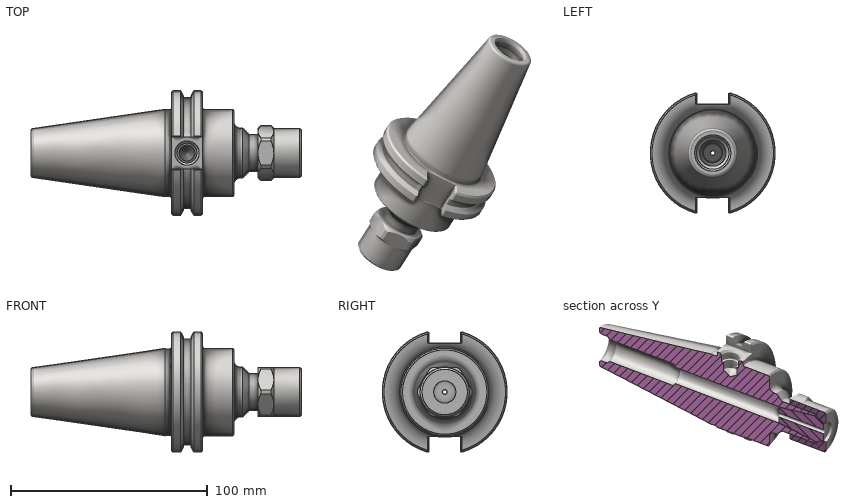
import cadquery as cq
import math


overall_length = 137.6

gauge_dia = 44.45
taper_length = 68.25
taper_slope = 7 / 48
shank_end_dia = gauge_dia - 2 * taper_slope * taper_length
shank_end_fillet = 1.3

relief_dia = 44.0
flange_dia = 63.5
flange_start = 3.175
flange_width = 15.875
flange_end = flange_start + flange_width
flange_chamfer = 0.9
flange_root_fillet = 0.75

groove_dia = 56.36
groove_center = 11.2
groove_floor_width = 3.9
groove_mouth_width = 6.95
groove_wall_depth = 2.6

slot_width = 16.1
slot_edge_chamfer = 0.69
slot_rim_drop = 0.3
slot_floor_top = 24.85
slot_floor_bottom = 22.6

side_hole_mouth_dia = 12.29
side_hole_dia = 10.05
side_hole_depth = 5.0
side_pilot_dia = 8.0
side_pilot_depth = 10.0
drill_point_angle = 118.0

body_dia = gauge_dia
body_end = 35.0
body_chamfer = 0.8
collar_dia = 25.4
collar_fillet = 3.0
collar_end = 39.35
neck_dia = 18.92
neck_start = collar_end + (collar_dia - neck_dia) / 2
nose_end = 63.75

bore_mouth_dia = 18.4
bore_mouth_depth = 1.5
counterbore_dia = 16.46
counterbore_depth = 4.9
thread_bore_dia = 13.39
thread_bore_start = 6.5
thread_bore_depth = 45.0
through_bore_dia = 9.91

collet_mouth_dia = 16.0
collet_tail_dia = 9.46
collet_taper_angle = 8.0
collet_head_angle = 30.0
collet_face_dia = 11.25
collet_bore_dia = 2.29

nut_start = 47.15
hex_length = 8.05
hex_flats = 25.02
hex_corner_dia = 27.9
hex_chamfer = (hex_corner_dia - hex_flats) / 2
nut_dia = hex_flats
nut_end = overall_length - taper_length
nut_chamfer = 1.0


def cone_length(large_dia, small_dia, half_angle):
    """Axial length of a cone between two diameters."""
    return (large_dia - small_dia) / 2 / math.tan(math.radians(half_angle))


def revolve_profile(points):
    """Solid of revolution about X from (x, radius) points."""
    profile = cq.Workplane("XY").polyline(points).close()
    return profile.revolve(360, (0, 0, 0), (1, 0, 0))


def ring_edges(solid, x, dia):
    """Circular edges about the X axis at a position and diameter."""
    tol = 0.01
    reach = dia / 2 + tol
    box = cq.selectors.BoxSelector((x - tol, -reach, -reach), (x + tol, reach, reach), boundingbox=True)
    inner = dia / 2 - tol
    inside = cq.selectors.BoxSelector((x - tol, -inner, -inner), (x + tol, inner, inner), boundingbox=True)
    return solid.edges(box - inside)


socket_end = nose_end - cone_length(collet_mouth_dia, through_bore_dia, collet_taper_angle)
collet_tail = nose_end - cone_length(collet_mouth_dia, collet_tail_dia, collet_taper_angle)
collet_face = nose_end + cone_length(collet_mouth_dia, collet_face_dia, collet_head_angle)


def holder_outside():
    """Turned outside of the holder with its fillets and chamfers."""
    groove_wall_dia = flange_dia - 2 * groove_wall_depth
    mouth_left = groove_center - groove_mouth_width / 2
    mouth_right = groove_center + groove_mouth_width / 2
    floor_left = groove_center - groove_floor_width / 2
    floor_right = groove_center + groove_floor_width / 2
    outside = revolve_profile([
        (-taper_length, 0),
        (-taper_length, shank_end_dia / 2),
        (0, gauge_dia / 2),
        (0, relief_dia / 2),
        (flange_start, relief_dia / 2),
        (flange_start, flange_dia / 2),
        (mouth_left, flange_dia / 2),
        (floor_left, groove_wall_dia / 2),
        (floor_left, groove_dia / 2),
        (floor_right, groove_dia / 2),
        (floor_right, groove_wall_dia / 2),
        (mouth_right, flange_dia / 2),
        (flange_end, flange_dia / 2),
        (flange_end, body_dia / 2),
        (body_end, body_dia / 2),
        (body_end, collar_dia / 2),
        (collar_end, collar_dia / 2),
        (neck_start, neck_dia / 2),
        (nose_end, neck_dia / 2),
        (nose_end, 0),
    ])
    outside = ring_edges(outside, -taper_length, shank_end_dia).fillet(shank_end_fillet)
    outside = ring_edges(outside, flange_start, relief_dia).fillet(flange_root_fillet)
    outside = ring_edges(outside, flange_end, body_dia).fillet(flange_root_fillet)
    outside = ring_edges(outside, flange_start, flange_dia).chamfer(flange_chamfer)
    outside = ring_edges(outside, flange_end, flange_dia).chamfer(flange_chamfer)
    outside = ring_edges(outside, body_end, body_dia).chamfer(body_chamfer)
    return ring_edges(outside, body_end, collar_dia).fillet(collar_fillet)


def holder_bore():
    """Stepped bore from the shank end through to the collet socket."""
    cone_end = thread_bore_depth + cone_length(thread_bore_dia, through_bore_dia, drill_point_angle / 2)
    return revolve_profile([
        (-taper_length, 0),
        (-taper_length, bore_mouth_dia / 2),
        (bore_mouth_depth - taper_length, counterbore_dia / 2),
        (counterbore_depth - taper_length, counterbore_dia / 2),
        (thread_bore_start - taper_length, thread_bore_dia / 2),
        (thread_bore_depth - taper_length, thread_bore_dia / 2),
        (cone_end - taper_length, through_bore_dia / 2),
        (socket_end, through_bore_dia / 2),
        (nose_end, collet_mouth_dia / 2),
        (nose_end, 0),
    ])


def drive_slot(floor_height, side):
    """Cutter for one drive slot through the flange; side is +1 for up and -1 for down."""
    height = flange_dia / 2 - floor_height
    middle = (flange_start + flange_width / 2, 0, side * (floor_height + height / 2))
    slot = cq.Workplane("XY").box(flange_width, slot_width, height).translate(middle)
    flare_width = slot_width + 2 * slot_edge_chamfer
    for face, inward in ((flange_start, 1), (flange_end, -1)):
        flare = (
            cq.Workplane("XY")
            .polyline([
                (face, -flare_width / 2),
                (face, flare_width / 2),
                (face + inward * slot_edge_chamfer, slot_width / 2),
                (face + inward * slot_edge_chamfer, -slot_width / 2),
            ])
            .close()
            .extrude(height)
            .translate((0, 0, floor_height if side > 0 else -flange_dia / 2))
        )
        slot = slot.union(flare)
    edge_height = math.sqrt((flange_dia / 2) ** 2 - (flare_width / 2) ** 2)
    flare_top = flange_dia / 2
    flare_rise = flare_top - edge_height
    flare_spread = flare_rise * slot_edge_chamfer / slot_rim_drop
    rim_flare = (
        cq.Workplane("YZ")
        .polyline([
            (-slot_width / 2, side * (edge_height - slot_rim_drop)),
            (slot_width / 2, side * (edge_height - slot_rim_drop)),
            (flare_width / 2 + flare_spread, side * flare_top),
            (-flare_width / 2 - flare_spread, side * flare_top),
        ])
        .close()
        .extrude(flange_width)
        .translate((flange_start, 0, 0))
    )
    return slot.union(rim_flare)


def side_hole():
    """Countersunk stepped blind hole in the floor of the upper slot."""
    sink = (side_hole_mouth_dia - side_hole_dia) / 2
    point = cone_length(side_pilot_dia, 0, drill_point_angle / 2)
    profile = cq.Workplane("XZ").polyline([
        (0, 0),
        (side_hole_mouth_dia / 2, 0),
        (side_hole_dia / 2, -sink),
        (side_hole_dia / 2, -side_hole_depth),
        (side_pilot_dia / 2, -side_hole_depth),
        (side_pilot_dia / 2, -side_pilot_depth),
        (0, -side_pilot_depth - point),
    ]).close()
    hole = profile.revolve(360, (0, 0, 0), (0, 1, 0))
    return hole.translate((flange_start + flange_width / 2, 0, slot_floor_top))


def make_holder():
    holder = holder_outside().cut(holder_bore())
    holder = holder.cut(drive_slot(slot_floor_top, 1))
    holder = holder.cut(drive_slot(slot_floor_bottom, -1))
    return holder.cut(side_hole())


def make_collet():
    """Double-cone collet seated between the holder socket and the nut."""
    return revolve_profile([
        (collet_tail, collet_bore_dia / 2),
        (collet_tail, collet_tail_dia / 2),
        (nose_end, collet_mouth_dia / 2),
        (collet_face, collet_face_dia / 2),
        (collet_face, collet_bore_dia / 2),
    ])


def make_nut():
    """Hexagon nut with a round front, closed over the collet head."""
    hex_end = nut_start + hex_length
    across_corners = hex_flats / math.cos(math.pi / 6)
    hexagon = (
        cq.Workplane("YZ")
        .polygon(6, across_corners)
        .extrude(hex_length)
        .translate((nut_start, 0, 0))
    )
    corner_turning = revolve_profile([
        (nut_start, 0),
        (nut_start, hex_flats / 2),
        (nut_start + hex_chamfer, hex_corner_dia / 2),
        (hex_end - hex_chamfer, hex_corner_dia / 2),
        (hex_end, hex_flats / 2),
        (hex_end, 0),
    ])
    front = revolve_profile([
        (nut_start, 0),
        (nut_start, neck_dia / 2),
        (hex_end, nut_dia / 2),
        (nut_end - nut_chamfer, nut_dia / 2),
        (nut_end, nut_dia / 2 - nut_chamfer),
        (nut_end, 0),
    ])
    cavity = revolve_profile([
        (nut_start, 0),
        (nut_start, neck_dia / 2),
        (nose_end, neck_dia / 2),
        (nose_end, collet_mouth_dia / 2),
        (collet_face, collet_face_dia / 2),
        (nut_end, collet_face_dia / 2),
        (nut_end, 0),
    ])
    return hexagon.intersect(corner_turning).union(front).cut(cavity)


holder = make_holder()
collet = make_collet()
nut = make_nut()
result = cq.Compound.makeCompound([holder.val(), collet.val(), nut.val()])